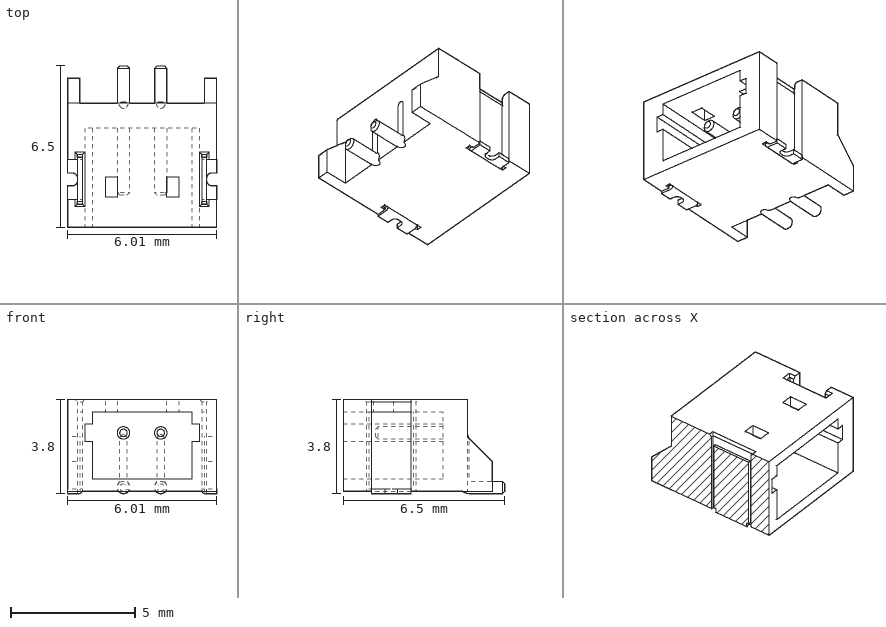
import cadquery as cq


width = 6.0
height = 3.7
body_depth = 5.0
ear_length = 1.0
ear_width = 0.5
ear_height = 1.2

cavity_width = 4.0
back_wall = 1.0
cavity_depth = body_depth - back_wall
cavity_floor = 0.5
cavity_ceiling = 3.2
keyway_width = 4.6
keyway_bottom = 2.0
keyway_top = 2.7

window_width = 0.5
window_length = 0.8
window_front = 1.22
window_center_x = 1.23

contact_pitch = 1.5
contact_diameter = 0.5
tip_chamfer = 0.1
contact_height = (keyway_bottom + keyway_top) / 2
contact_front = 1.3
contact_back = 6.5
solder_drop = 0.1
tail_height = contact_diameter / 2 - solder_drop
bend_radius = 0.3
tail_bend_start = 5.1
riser_y = tail_bend_start - bend_radius

tab_thickness = 0.2
tab_center_y = 1.93
tab_plate_length = 1.8
tab_top = 3.2
tab_bend_radius = 0.15
foot_length = 1.6
foot_overhang = 0.005
notch_width = 0.5
notch_corner_radius = 0.2
recess_depth = 0.4
slot_length = 2.0
slot_lead_in = 0.1
tab_outer_x = width / 2 - recess_depth
tab_inner_x = tab_outer_x - tab_thickness
foot_tip_x = width / 2 + foot_overhang


def box(x_range, y_range, z_range):
    """Axis-aligned block between the given limits."""
    return (
        cq.Workplane("XY")
        .box(
            x_range[1] - x_range[0],
            y_range[1] - y_range[0],
            z_range[1] - z_range[0],
            centered=False,
        )
        .translate((x_range[0], y_range[0], z_range[0]))
    )


def span(center, length):
    """Limits of a length centred on a position."""
    return (center - length / 2, center + length / 2)


def mirrored(shape):
    """Copy of a shape on the opposite X side."""
    return shape.mirror("YZ")


def make_ear():
    """Rear ear at +X with a 45 degree slope down from the back wall."""
    ear_back = body_depth + ear_length
    return (
        cq.Workplane("YZ", origin=(width / 2 - ear_width, 0, 0))
        .moveTo(body_depth, 0)
        .lineTo(ear_back, 0)
        .lineTo(ear_back, ear_height)
        .lineTo(body_depth, ear_height + ear_length)
        .close()
        .extrude(ear_width)
    )


def make_cavity():
    """Mating cavity, open to the front, with a keyway in each side wall."""
    cavity = box(span(0, cavity_width), (0, cavity_depth), (cavity_floor, cavity_ceiling))
    keyway = box(span(0, keyway_width), (0, cavity_depth), (keyway_bottom, keyway_top))
    return cavity.union(keyway)


def make_window():
    """Rectangular latch window at +X, from the roof into the cavity."""
    return box(
        span(window_center_x, window_width),
        (window_front, window_front + window_length),
        (cavity_ceiling, height),
    )


def make_tab_pocket():
    """Open side recess and through slot at +X, with a tapered lead-in at the top of the slot."""
    recess = box((tab_outer_x, width / 2), span(tab_center_y, foot_length), (0, height))
    slot = box((tab_inner_x, tab_outer_x), span(tab_center_y, slot_length), (0, height))
    slot_center = ((tab_inner_x + tab_outer_x) / 2, tab_center_y)
    lead_in = (
        cq.Workplane("XY", origin=(*slot_center, height))
        .rect(tab_thickness + 2 * slot_lead_in, slot_length + 2 * slot_lead_in)
        .workplane(offset=-slot_lead_in)
        .rect(tab_thickness, slot_length)
        .loft(combine=True, ruled=True)
    )
    return recess.union(slot).union(lead_in)


def make_contact():
    """Round S-bent contact: pin in the cavity, riser in the back wall, solder tail behind."""
    path = (
        cq.Workplane("YZ")
        .moveTo(contact_front, contact_height)
        .lineTo(riser_y - bend_radius, contact_height)
        .tangentArcPoint((riser_y, contact_height - bend_radius), relative=False)
        .lineTo(riser_y, tail_height + bend_radius)
        .tangentArcPoint((tail_bend_start, tail_height), relative=False)
        .lineTo(contact_back, tail_height)
    )
    wire = (
        cq.Workplane("XZ", origin=(0, contact_front, contact_height))
        .circle(contact_diameter / 2)
        .sweep(path)
    )
    return wire.faces("<Y or >Y").chamfer(tip_chamfer)


def make_housing():
    """Moulded housing with the two contacts fixed in its back wall."""
    body = box(span(0, width), (0, body_depth), (0, height)).cut(make_cavity())
    ear = make_ear()
    body = body.union(ear).union(mirrored(ear))
    for opening in (make_window(), make_tab_pocket()):
        body = body.cut(opening).cut(mirrored(opening))
    contact = make_contact()
    for contact_x in span(0, contact_pitch):
        body = body.union(contact.translate((contact_x, 0, 0)))
    return body


def make_solder_tab():
    """L-shaped tab at +X: upright plate in the slot and a notched foot turned outwards."""
    foot_bottom = -solder_drop
    foot_top = foot_bottom + tab_thickness
    plate = box(
        (tab_inner_x, tab_outer_x), span(tab_center_y, tab_plate_length), (foot_top, tab_top)
    )
    foot = box(
        (tab_inner_x, foot_tip_x), span(tab_center_y, foot_length), (foot_bottom, foot_top)
    )
    foot = foot.edges("<X and <Z").fillet(tab_bend_radius)
    notch = box(
        (tab_outer_x, foot_tip_x), span(tab_center_y, notch_width), (foot_bottom, foot_top)
    )
    notch = notch.edges("|Z and <X").fillet(notch_corner_radius)
    return plate.union(foot.cut(notch))


housing = make_housing().solids()
right_tab = make_solder_tab().solids()
left_tab = mirrored(right_tab)

result = cq.Compound.makeCompound([housing.val(), right_tab.val(), left_tab.val()])